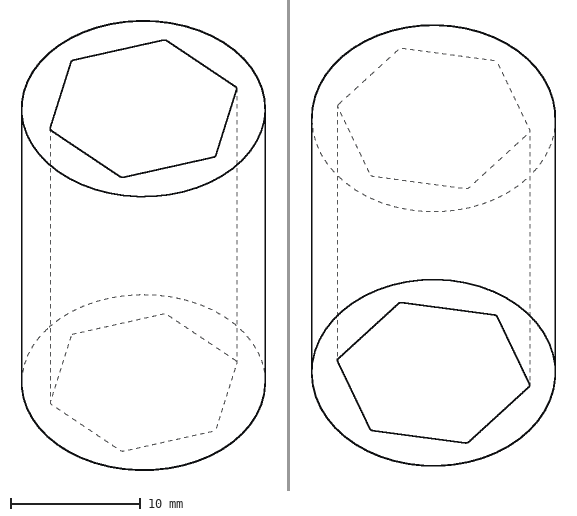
import cadquery as cq
import math

length = 30.48
outer_diameter = 18.8
hex_across_flats = 13.1
hex_corner_radius = 0.3

hex_across_corners = hex_across_flats / math.cos(math.radians(30))

hex_bore = (
    cq.Workplane("XY")
    .polygon(6, hex_across_corners)
    .extrude(length)
    .edges("|Z")
    .fillet(hex_corner_radius)
)

sleeve = cq.Workplane("XY").circle(outer_diameter / 2).extrude(length)
result = sleeve.cut(hex_bore)